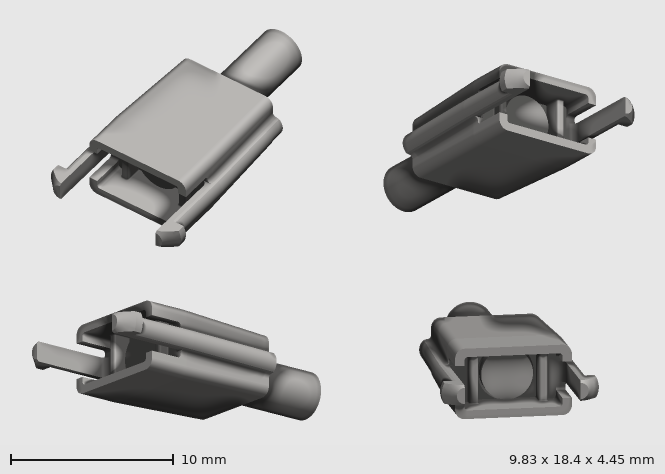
import cadquery as cq
import math


body_width = 7.3
body_height = 4.45
body_corner_radius = 0.6
taper_start = 2.77
body_rear = 9.52
rear_inset = 0.235

cavity_width = 6.12
cavity_height = 3.37
cavity_corner_radius = 0.2
cavity_side_depth = 2.28
cavity_center_depth = 2.8
post_inner_x = 1.9
post_outer_x = 2.43
post_front = 1.6
post_inner_edge_radius = 0.14
post_outer_edge_radius = 0.18
post_root_radius = 0.1
post_base_radius = 0.08
pad_margin = 0.2
pad_thickness = 0.2

stub_radius = 1.62
stub_front = 2.2
countersink_radius = 1.757
cable_radius = 1.525
cable_end = 15.24

slot_height = 2.3
slot_corner_radius = 0.2
slot_inner_x = 2.8

arm_inner_x = 3.62
arm_half_height = 0.65
arm_axis_x = 3.6
rail_radius = 0.8
rail_edge_half_height = 0.61
rail_flat_end_x = 3.95
rail_foot_radius = 0.28
arm_root_radius = 0.4
hook_back = -1.77
hook_cone_start = -2.3
hook_tip = -3.17
hook_radius = 1.315
hook_tip_radius = 0.52

overlap = 1.0


def plane_at(y):
    """Plane across the part at y: local x is X, local y is Z, normal is -Y."""
    return cq.Workplane("XZ", origin=(0, y, 0))


def rounded_section(y, inset):
    """Outer section of the housing, drawn in by inset on every side."""
    return (
        cq.Sketch()
        .rect(body_width - 2 * inset, body_height - 2 * inset)
        .vertices()
        .fillet(body_corner_radius)
        .moved(cq.Location(cq.Vector(0, 0, -y)))
    )


def housing():
    straight = plane_at(0).placeSketch(rounded_section(0, 0)).extrude(-taper_start)
    drafted = (
        plane_at(0)
        .placeSketch(rounded_section(taper_start, 0), rounded_section(body_rear, rear_inset))
        .loft(ruled=True)
    )
    return straight.union(drafted)


def round_upright_edge(solid, x, y, radius):
    """Round the edge along Z that stands at (x, y)."""
    selector = cq.selectors.NearestToPointSelector((x, y, 0))
    return solid.edges("|Z").edges(selector).fillet(radius)


def round_post_corners(solid, side):
    """Round the two front corners of the post on the +X (1) or -X (-1) side."""
    solid = round_upright_edge(solid, side * post_outer_x, post_front, post_outer_edge_radius)
    return round_upright_edge(solid, side * post_inner_x, post_front, post_inner_edge_radius)


def cavity():
    half_width = cavity_width / 2
    right_side = [
        (half_width, -overlap),
        (half_width, cavity_side_depth),
        (post_outer_x, cavity_side_depth),
        (post_outer_x, post_front),
        (post_inner_x, post_front),
        (post_inner_x, cavity_center_depth),
    ]
    left_side = [(-x, y) for x, y in reversed(right_side)]
    void = (
        cq.Workplane("XY")
        .polyline(right_side + left_side)
        .close()
        .extrude(cavity_height / 2, both=True)
    )
    for side in (1, -1):
        void = round_post_corners(void, side)
        void = round_upright_edge(void, side * post_outer_x, cavity_side_depth, post_root_radius)
    return void.faces("<X or >X").edges("|Y").fillet(cavity_corner_radius)


def post():
    """Post at +X with small hollow rounds where it meets the floor and the roof.

    It stands between two pads that lie inside the floor and the roof.
    """
    width = post_outer_x - post_inner_x
    length = cavity_center_depth - post_front
    column = (
        cq.Workplane("XY")
        .box(width, length, cavity_height, centered=(False, False, True))
        .translate((post_inner_x, post_front, 0))
    )
    column = round_post_corners(column, 1)
    pad = (
        cq.Workplane("XY")
        .workplane(offset=cavity_height / 2)
        .moveTo(post_inner_x + width / 2, post_front + length / 2)
        .rect(width + 2 * pad_margin, length + 2 * pad_margin)
        .extrude(pad_thickness)
    )
    column = column.union(pad).union(pad.mirror("XY"))
    for level in (1, -1):
        end_z = level * cavity_height / 2
        end_outline = cq.selectors.BoxSelector(
            (post_inner_x - post_base_radius, post_front - post_base_radius, end_z - post_base_radius),
            (post_outer_x + post_base_radius, cavity_side_depth, end_z + post_base_radius),
        )
        column = column.edges("not |Z").edges(end_outline).fillet(post_base_radius)
    return column


def stub():
    length = cavity_center_depth + overlap - stub_front
    return plane_at(cavity_center_depth + overlap).circle(stub_radius).extrude(length)


def stub_countersink():
    """Conical recess in the back wall of the cavity, closing onto the stub."""
    recess_end = cavity_center_depth + countersink_radius - stub_radius
    return (
        cq.Workplane("XY")
        .polyline([
            (0, cavity_center_depth),
            (countersink_radius, cavity_center_depth),
            (stub_radius, recess_end),
            (0, recess_end),
        ])
        .close()
        .revolve(360, (0, 0, 0), (0, 1, 0))
    )


def cable():
    return plane_at(cable_end).circle(cable_radius).extrude(cable_end - body_rear + overlap)


def slot():
    """Cut through the +X side wall, open at the mouth."""
    length = cavity_side_depth + overlap
    width = body_width / 2 + overlap - slot_inner_x
    return (
        cq.Workplane("XY")
        .box(width, length, slot_height, centered=(False, False, True))
        .translate((slot_inner_x, -overlap, 0))
        .faces(">Y")
        .edges("|X")
        .fillet(slot_corner_radius)
    )


def rail_round(wire):
    """Continue an outline from the lower flat of the rail around to the upper flat."""
    reach = math.sqrt(rail_radius**2 - rail_edge_half_height**2)
    return (
        wire.lineTo(rail_flat_end_x, -arm_half_height)
        .lineTo(arm_axis_x + reach, -rail_edge_half_height)
        .threePointArc((arm_axis_x + rail_radius, 0), (arm_axis_x + reach, rail_edge_half_height))
        .lineTo(rail_flat_end_x, arm_half_height)
    )


def rail_outline(work):
    """Rail section with hollow feet running out onto the side of the housing."""
    side_x = body_width / 2
    buried_x = side_x - body_corner_radius
    foot_x = side_x + rail_foot_radius
    foot_z = arm_half_height + rail_foot_radius
    arc_step = rail_foot_radius * (1 - math.sqrt(0.5))
    mid_x = side_x + arc_step
    mid_z = arm_half_height + arc_step
    wire = (
        work.moveTo(buried_x, -foot_z)
        .lineTo(side_x, -foot_z)
        .threePointArc((mid_x, -mid_z), (foot_x, -arm_half_height))
    )
    return (
        rail_round(wire)
        .lineTo(foot_x, arm_half_height)
        .threePointArc((mid_x, mid_z), (side_x, foot_z))
        .lineTo(buried_x, foot_z)
        .close()
    )


def rail():
    """Rail on the +X side of the housing, following its draft."""
    straight = rail_outline(plane_at(cavity_side_depth)).extrude(cavity_side_depth - taper_start)
    front_wire = rail_outline(plane_at(taper_start)).val()
    shift = cq.Vector(-rear_inset, body_rear - taper_start, 0)
    drafted = cq.Solid.makeLoft([front_wire, front_wire.translate(shift)], True)
    return straight.union(cq.Workplane(drafted))


def arm():
    """Free arm on the +X side, with the inner round at its root."""
    wire = plane_at(cavity_side_depth).moveTo(arm_inner_x, -arm_half_height)
    bar = (
        rail_round(wire)
        .lineTo(arm_inner_x, arm_half_height)
        .close()
        .extrude(cavity_side_depth - hook_back)
    )
    arc_step = arm_root_radius * (1 - math.sqrt(0.5))
    root = (
        cq.Workplane("XY")
        .moveTo(arm_inner_x, cavity_side_depth)
        .lineTo(arm_inner_x, cavity_side_depth - arm_root_radius)
        .threePointArc(
            (arm_inner_x - arc_step, cavity_side_depth - arc_step),
            (arm_inner_x - arm_root_radius, cavity_side_depth),
        )
        .close()
        .extrude(arm_half_height, both=True)
    )
    return bar.union(root)


def hook():
    """Hook on the +X arm: a round with a conical nose, cut to the height of the arm."""
    turned = (
        cq.Workplane("XY")
        .polyline([
            (arm_axis_x, hook_back),
            (arm_axis_x + hook_radius, hook_back),
            (arm_axis_x + hook_radius, hook_cone_start),
            (arm_axis_x + hook_tip_radius, hook_tip),
            (arm_axis_x, hook_tip),
        ])
        .close()
        .revolve(360, (arm_axis_x, 0, 0), (arm_axis_x, 1, 0))
    )
    envelope = (
        cq.Workplane("XY")
        .box(2 * hook_radius, hook_back - hook_tip, 2 * arm_half_height, centered=(False, False, True))
        .translate((arm_inner_x, hook_tip, 0))
    )
    return turned.intersect(envelope)


def latch():
    return rail().union(arm()).union(hook())


side_slot = slot()
side_post = post()
side_latch = latch()

result = housing().cut(cavity()).cut(stub_countersink())
result = result.union(stub()).union(cable())
result = result.union(side_post).union(side_post.mirror("YZ"))
result = result.cut(side_slot).cut(side_slot.mirror("YZ"))
result = result.union(side_latch).union(side_latch.mirror("YZ"))